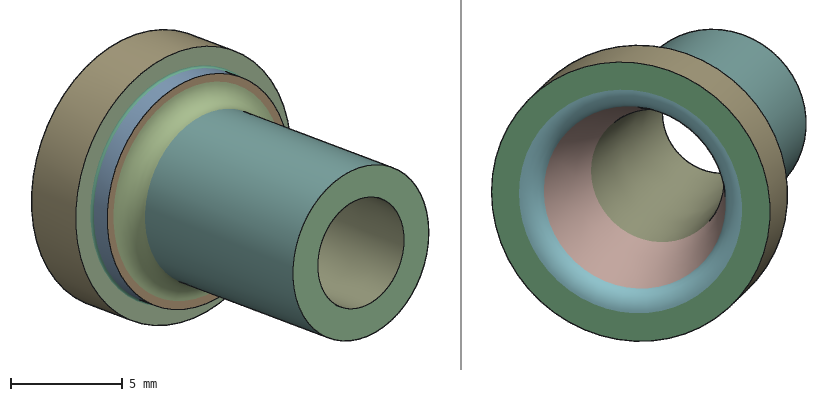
import cadquery as cq
import math

length = 15.0
flange_diameter = 13.0
flange_thickness = 3.0
collar_diameter = 11.0
collar_end = 4.0
collar_fillet = 0.1
tube_diameter = 8.2
tube_fillet = 1.0

mouth_diameter = 10.41
mouth_radius = 1.0
cone_half_angle = math.radians(16.4)
throat_diameter = 6.2
outlet_diameter = 5.2


def make_body():
    """Flange, collar and tube, with concave fillets at both inner corners."""
    flange_r = flange_diameter / 2
    collar_r = collar_diameter / 2
    tube_r = tube_diameter / 2
    arc_reach = 1 - math.sqrt(0.5)
    profile = (
        cq.Workplane("XY")
        .lineTo(0, flange_r)
        .lineTo(flange_thickness, flange_r)
        .lineTo(flange_thickness, collar_r + collar_fillet)
        .threePointArc(
            (flange_thickness + collar_fillet * arc_reach, collar_r + collar_fillet * arc_reach),
            (flange_thickness + collar_fillet, collar_r),
        )
        .lineTo(collar_end, collar_r)
        .lineTo(collar_end, tube_r + tube_fillet)
        .threePointArc(
            (collar_end + tube_fillet * arc_reach, tube_r + tube_fillet * arc_reach),
            (collar_end + tube_fillet, tube_r),
        )
        .lineTo(length, tube_r)
        .lineTo(length, 0)
        .close()
    )
    return profile.revolve(360, (0, 0, 0), (1, 0, 0))


def mouth_point(turn):
    """Point on the mouth arc, turned by the given angle from the flange face."""
    return (
        mouth_radius * (1 - math.cos(turn)),
        mouth_diameter / 2 - mouth_radius * math.sin(turn),
    )


def make_bore():
    """Through bore whose mouth arc runs tangent into the steep cone."""
    mouth_turn = math.pi / 2 - cone_half_angle
    cone_start, cone_start_r = mouth_point(mouth_turn)
    throat_r = throat_diameter / 2
    throat_x = cone_start + (cone_start_r - throat_r) / math.tan(cone_half_angle)
    profile = (
        cq.Workplane("XY")
        .lineTo(0, mouth_diameter / 2)
        .threePointArc(mouth_point(mouth_turn / 2), (cone_start, cone_start_r))
        .lineTo(throat_x, throat_r)
        .lineTo(length, outlet_diameter / 2)
        .lineTo(length, 0)
        .close()
    )
    return profile.revolve(360, (0, 0, 0), (1, 0, 0))


result = make_body().cut(make_bore())